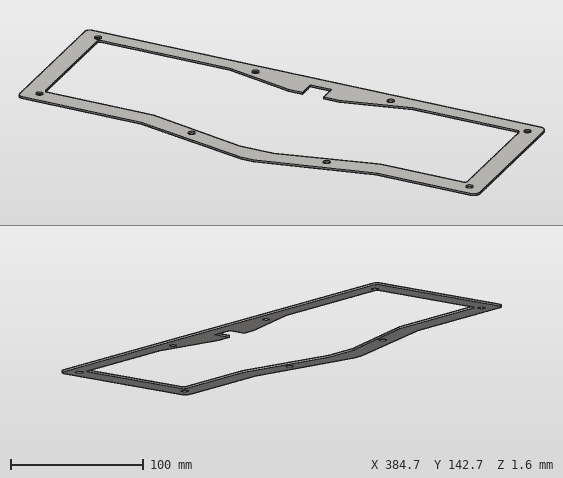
import cadquery as cq

length = 384.7
width = 142.7
thickness = 1.6
left = -length / 2
right = length / 2
back = width / 2
front_tip = -width / 2
bend_axis = left + 202.0

front = back - 122.7
outer_bend_half = 98.5
tip_half = 5.0
left_corner_radius = 4.0
right_corner_radius = 5.5

window_left = left + 15.5
window_right = right - 16.0
window_back = back - 12.7
window_front = back - 107.7
window_corner_radius = 2.5
front_bend_half = 95.0
front_flat_half = 14.2
front_flat_y = back - 126.0
tab_root_half = 76.5
tab_flat_half = 21.0
tab_y = back - 25.5

notch_width = 17.7
notch_center = bend_axis - 0.8
notch_back = back - 11.5

hole_diameter = 5.5
hole_left = left + 13.5
hole_right = right - 11.0
hole_inner_half = 56.5
hole_back = back - 9.2
hole_back_right = back - 10.5
hole_front = back - 112.5
hole_front_inner = back - 122.0
hole_points = [
    (hole_left, hole_back),
    (hole_left, hole_front),
    (hole_right, hole_back_right),
    (hole_right, hole_front),
]
for side in (-1, 1):
    hole_x = bend_axis + side * hole_inner_half
    hole_points += [(hole_x, hole_back), (hole_x, hole_front_inner)]


def prism(points):
    """Extrude a closed polygon through the plate thickness."""
    return cq.Workplane("XY").polyline(points).close().extrude(thickness)


def outer_plate():
    """Solid plate with a shallow V-shaped front edge."""
    plate = prism([
        (left, back),
        (left, front),
        (bend_axis - outer_bend_half, front),
        (bend_axis - tip_half, front_tip),
        (bend_axis + tip_half, front_tip),
        (bend_axis + outer_bend_half, front),
        (right, front),
        (right, back),
    ])
    plate = plate.edges("|Z").edges("<X").fillet(left_corner_radius)
    return plate.edges("|Z").edges(">X").fillet(right_corner_radius)


def window():
    """Opening that follows the front edge and leaves a tab at the back."""
    opening = prism([
        (window_left, window_back),
        (window_left, window_front),
        (bend_axis - front_bend_half, window_front),
        (bend_axis - front_flat_half, front_flat_y),
        (bend_axis + front_flat_half, front_flat_y),
        (bend_axis + front_bend_half, window_front),
        (window_right, window_front),
        (window_right, window_back),
        (bend_axis + tab_root_half, window_back),
        (bend_axis + tab_flat_half, tab_y),
        (bend_axis - tab_flat_half, tab_y),
        (bend_axis - tab_root_half, window_back),
    ])
    return opening.edges("|Z").edges("<X or >X").fillet(window_corner_radius)


def notch():
    """Rectangular cut into the tab, open to the window."""
    depth = notch_back - tab_y
    block = cq.Workplane("XY").box(notch_width, depth, thickness, centered=(True, False, False))
    return block.translate((notch_center, tab_y, 0))


def screw_holes():
    """Through holes around the frame."""
    return cq.Workplane("XY").pushPoints(hole_points).circle(hole_diameter / 2).extrude(thickness)


result = outer_plate().cut(window()).cut(notch()).cut(screw_holes())